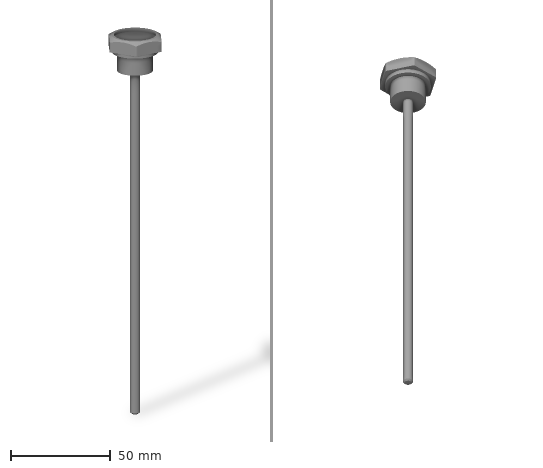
import cadquery as cq
import math

total_length = 199.0

across_flats = 26.0
corner_radius = 1.2
head_height = 7.0
crown_diameter = 23.9
crown_bevel_angle = 30.0

recess_diameter = 21.0
recess_depth = 1.5

collar_diameter = 23.0
collar_height = 2.2

body_diameter = 18.0
plug_height = 19.0

rod_diameter = 5.0
tip_chamfer = 0.8

head_bottom = total_length - head_height
collar_bottom = head_bottom - collar_height
body_bottom = total_length - plug_height


def cylinder(diameter, bottom, top):
    return cq.Workplane("XY").workplane(offset=bottom).circle(diameter / 2).extrude(top - bottom)


def revolve_about_z(profile):
    """Turn a closed profile of (radius, height) points around the Z axis."""
    return cq.Workplane("XZ").polyline(profile).close().revolve(360, (0, 0, 0), (0, 1, 0))


def make_head():
    """Hexagon with corners on the Y axis and its top corners bevelled by a cone."""
    across_corners = across_flats / math.cos(math.radians(30))
    hexagon = (
        cq.Workplane("XY")
        .workplane(offset=head_bottom)
        .transformed(rotate=(0, 0, 90))
        .polygon(6, across_corners)
        .extrude(head_height)
        .edges("|Z")
        .fillet(corner_radius)
    )
    outer_radius = across_corners / 2
    crown_radius = crown_diameter / 2
    bevel_drop = (outer_radius - crown_radius) * math.tan(math.radians(crown_bevel_angle))
    bevelled_envelope = revolve_about_z([
        (0, head_bottom),
        (outer_radius, head_bottom),
        (outer_radius, total_length - bevel_drop),
        (crown_radius, total_length),
        (0, total_length),
    ])
    recess = cylinder(recess_diameter, total_length - recess_depth, total_length)
    return hexagon.intersect(bevelled_envelope).cut(recess)


def make_rod():
    return cylinder(rod_diameter, 0, body_bottom).faces("<Z").chamfer(tip_chamfer)


collar = cylinder(collar_diameter, collar_bottom, head_bottom)
body = cylinder(body_diameter, body_bottom, collar_bottom)

result = make_head().union(collar).union(body).union(make_rod())